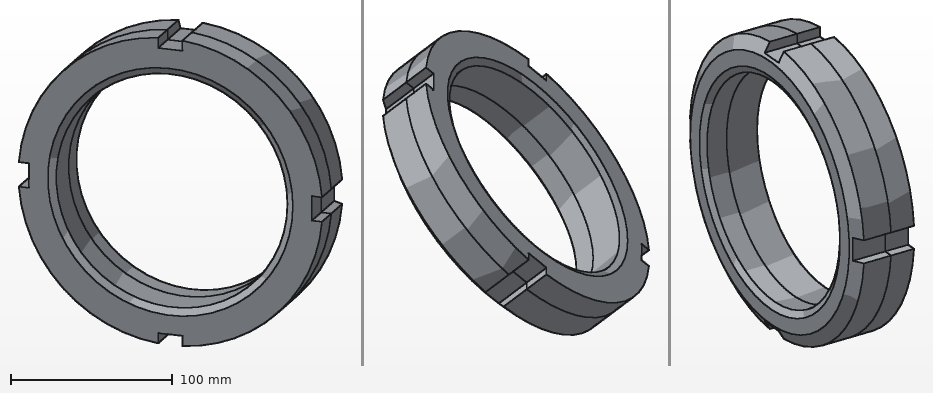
import cadquery as cq
import math


overall_width = 199.4
nut_length = 42.0

seat_y = 17.0
spigot_end_y = 25.1

slot_count = 4
slot_width = 16.0
slot_depth = 7.0

rim_radius = math.hypot(overall_width / 2, slot_width / 2)
rim_chamfer_width = 9.0
rim_chamfer_angle = 30.0
rim_chamfer_length = rim_chamfer_width * math.tan(math.radians(rim_chamfer_angle))

bore_radius = 76.0
bore_chamfer_width = 4.5
bore_chamfer_length = 2.5

slot_floor_radius = rim_radius - slot_depth
spigot_radius = (bore_radius + slot_floor_radius) / 2


def revolve_about_y(profile):
    """Turn a closed profile of (radius, Y) points about the Y axis."""
    return cq.Workplane("XY").polyline(profile).close().revolve(360, (0, 0, 0), (0, 1, 0))


def cut_slots(ring):
    """Cut the spanner slots, evenly spaced round the rim, along the full length."""
    slot_cutter = cq.Workplane("XY").box(
        2 * slot_depth, nut_length, slot_width, centered=(False, False, True)
    ).translate((slot_floor_radius, 0, 0))
    for index in range(slot_count):
        angle = index * 360 / slot_count
        ring = ring.cut(slot_cutter.rotate((0, 0, 0), (0, 1, 0), angle))
    return ring


def make_front_ring():
    """Plain-rimmed ring with a chamfered bore mouth in front and the spigot behind."""
    profile = [
        (bore_radius + bore_chamfer_width, 0),
        (rim_radius, 0),
        (rim_radius, seat_y),
        (spigot_radius, seat_y),
        (spigot_radius, spigot_end_y),
        (bore_radius, spigot_end_y),
        (bore_radius, bore_chamfer_length),
    ]
    return cut_slots(revolve_about_y(profile))


def make_back_ring():
    """Ring with the spigot recess in front and a chamfered rim and bore mouth behind."""
    profile = [
        (bore_radius, spigot_end_y),
        (spigot_radius, spigot_end_y),
        (spigot_radius, seat_y),
        (rim_radius, seat_y),
        (rim_radius, nut_length - rim_chamfer_length),
        (rim_radius - rim_chamfer_width, nut_length),
        (bore_radius + bore_chamfer_width, nut_length),
        (bore_radius, nut_length - bore_chamfer_length),
    ]
    return cut_slots(revolve_about_y(profile))


front_ring = make_front_ring()
back_ring = make_back_ring()

result = cq.Compound.makeCompound([front_ring.val(), back_ring.val()])